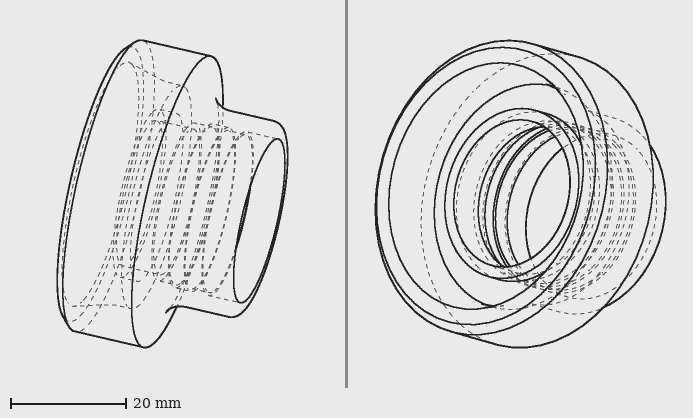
import cadquery as cq
import math

length = 29.0
flange_radius = 52 / 2
flange_chamfer = 1.5

hub_radius = 35.0 / 2
hub_rounding = 1.5
blend_radius = 5.0
blend_end = 19.6
back_slope = math.radians(8)

mouth_radius = 43.5 / 2
recess_radius = 39.8 / 2
taper_depth = 7.0
recess_depth = 10.25
ring_radius = 30.0 / 2
ring_height = 3.1

bore_radius = 26 / 2
seat_radius = 28.2 / 2
groove_radius = 29.2 / 2
outlet_radius = groove_radius
seat_start = 13.9
groove_start = 17.05
groove_end = 19.95
outlet_start = 23.2


def revolve_about_x(profile):
    return profile.close().revolve(360, (0, 0, 0), (1, 0, 0))


def blend_point(angle):
    """Point on the blend arc, with the angle measured from -X towards the axis."""
    return (
        blend_end - blend_radius * math.cos(angle),
        hub_radius + blend_radius * (1 - math.sin(angle)),
    )


def make_body():
    arc_start = blend_point(back_slope)
    arc_middle = blend_point((back_slope + math.pi / 2) / 2)
    back_x = arc_start[0] - (flange_radius - arc_start[1]) * math.tan(back_slope)
    rounding_middle = hub_rounding * (1 - math.sqrt(0.5))
    profile = (
        cq.Workplane("XY")
        .lineTo(0, flange_radius - flange_chamfer)
        .lineTo(flange_chamfer, flange_radius)
        .lineTo(back_x, flange_radius)
        .lineTo(*arc_start)
        .threePointArc(arc_middle, (blend_end, hub_radius))
        .lineTo(length - hub_rounding, hub_radius)
        .threePointArc(
            (length - rounding_middle, hub_radius - rounding_middle),
            (length, hub_radius - hub_rounding),
        )
        .lineTo(length, 0)
    )
    return revolve_about_x(profile)


def make_cavity():
    ring_face = recess_depth - ring_height
    profile = (
        cq.Workplane("XY")
        .lineTo(0, mouth_radius)
        .lineTo(taper_depth, recess_radius)
        .lineTo(recess_depth, recess_radius)
        .lineTo(recess_depth, ring_radius)
        .lineTo(ring_face, ring_radius)
        .lineTo(ring_face, bore_radius)
        .lineTo(seat_start, bore_radius)
        .lineTo(seat_start, seat_radius)
        .lineTo(groove_start, seat_radius)
        .lineTo(groove_start, groove_radius)
        .lineTo(groove_end, groove_radius)
        .lineTo(groove_end, seat_radius)
        .lineTo(outlet_start, seat_radius)
        .lineTo(outlet_start, outlet_radius)
        .lineTo(length, outlet_radius)
        .lineTo(length, 0)
    )
    return revolve_about_x(profile)


result = make_body().cut(make_cavity())